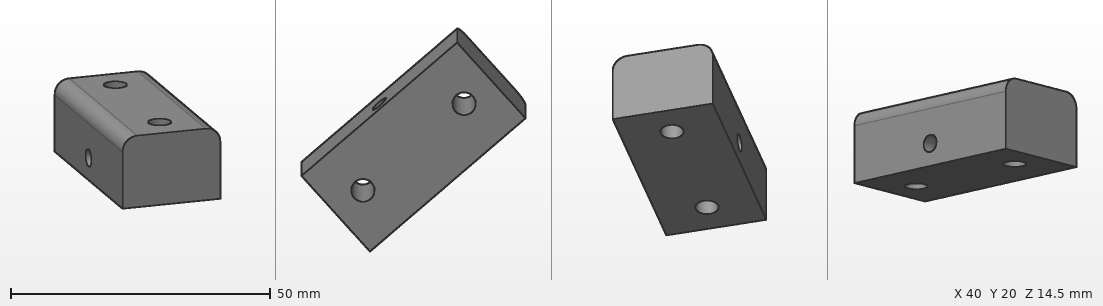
import cadquery as cq

length = 40.0
width = 20.0
height = 14.5
edge_radius = 3.0

vertical_hole_diameter = 4.5
vertical_hole_spacing = 26.0

cross_hole_diameter = 3.4
cross_hole_height = 4.5

block = (
    cq.Workplane("XY")
    .box(length, width, height, centered=(True, True, False))
    .edges("|X and >Z")
    .fillet(edge_radius)
)

vertical_holes = (
    cq.Workplane("XY")
    .pushPoints([(side * vertical_hole_spacing / 2, 0) for side in (-1, 1)])
    .circle(vertical_hole_diameter / 2)
    .extrude(height)
)

cross_hole = (
    cq.Workplane("XZ")
    .center(0, cross_hole_height)
    .circle(cross_hole_diameter / 2)
    .extrude(width / 2, both=True)
)

result = block.cut(vertical_holes).cut(cross_hole)